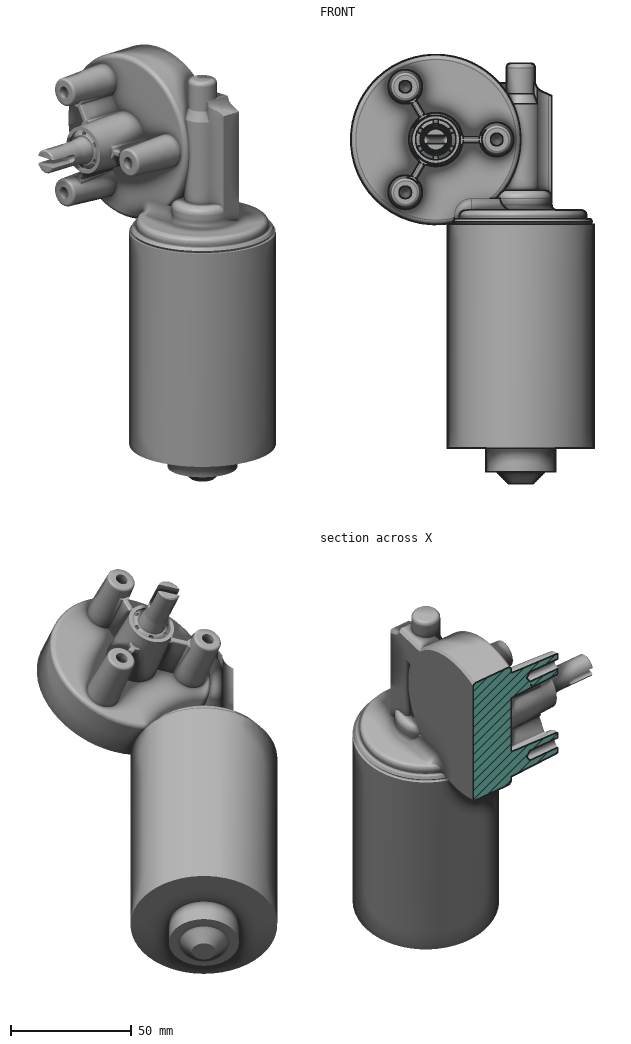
import cadquery as cq
import math

can_diameter = 61.0
can_length = 93.0
tail_diameter = 29.0
tail_length = 9.8
tail_cone_base_diameter = 20.0
tail_cone_tip_diameter = 10.0
tail_cone_length = (tail_cone_base_diameter - tail_cone_tip_diameter) / 2

ridge_diameter = 59.5
ridge_bevel = 0.7
ridge_height = 2.1
cap_diameter = 55.0
cap_top = 5.9
cap_rounding = 2.3

disc_diameter = 70.6
disc_thickness = 19.5
disc_front = -disc_thickness / 2
disc_back = disc_thickness / 2
disc_center_x = -35.3
disc_center_z = 35.1
disc_front_rounding = 2.0
disc_back_bevel = 1.0
cap_fillet = 4.8

collar_diameter = 25.9
collar_top = 14.0
collar_base_fillet = 2.1
collar_shoulder_diameter = 19.3
tube_diameter = 15.3
tube_top = 50.0
bearing_boss_diameter = 12.0
bearing_boss_bottom = 54.2
bearing_boss_top = 66.9
bearing_boss_rounding = 2.0

web_front = -0.4
web_left = -14.3
web_notch_base = 44.5
web_notch_height = 58.7
web_shoulder_x = 9.3
web_shoulder_height = 55.0
web_right_height = 53.3
web_shoulder_arc = 5.3
web_corner_fillet = 5.0

post_count = 3
post_circle_radius = 25.3
post_base_diameter = 14.3
post_tip_diameter = 12.0
post_length = 23.7
post_rounding = 1.0
post_hole_diameter = 5.2
post_hole_depth = 14.3
drill_point_angle = 118

hub_base_diameter = 22.5
hub_tip_diameter = 20.0
hub_length = 25.0
washer_recess_diameter = 16.8
washer_lip_diameter = 13.0
washer_height = 1.2
washer_slot_count = 6
washer_slot_width = 2.1
rib_thickness = 2.5
rib_length = 18.7
rib_end_fillet = 1.8
rib_rounding = 0.7
shaft_diameter = 10.0
shaft_collar_diameter = 11.6
shaft_collar_length = 5.7
shaft_end = -56.9
shaft_bevel = 0.5
shaft_slot_width = 3.4
shaft_slot_depth = 12.5

overlap = 1.8


def revolved(profile):
    """Turn a closed profile of (radius, height) about the Z axis."""
    return profile.close().revolve(360, (0, 0, 0), (0, 1, 0))


def on_disc(body, radius=0, angle=0):
    """Lay a body built along +Z forward from the disc face, at a polar place about the gear axis."""
    x = disc_center_x + radius * math.cos(math.radians(angle))
    z = disc_center_z + radius * math.sin(math.radians(angle))
    return body.rotate((0, 0, 0), (1, 0, 0), 90).translate((x, disc_front, z))


def motor():
    """Can, tail with its conical tip, bevelled ridge and rounded end cap in one turned body."""
    can = can_diameter / 2
    tail = tail_diameter / 2
    ridge = ridge_diameter / 2
    cap = cap_diameter / 2
    tail_end = -can_length - tail_length
    tip = tail_end - tail_cone_length
    profile = (
        cq.Workplane("XZ").moveTo(0, tip)
        .lineTo(tail_cone_tip_diameter / 2, tip)
        .lineTo(tail_cone_base_diameter / 2, tail_end)
        .lineTo(tail, tail_end)
        .lineTo(tail, -can_length)
        .lineTo(can, -can_length)
        .lineTo(can, 0)
        .lineTo(ridge - ridge_bevel, 0)
        .lineTo(ridge, ridge_height / 2)
        .lineTo(ridge - ridge_bevel, ridge_height)
        .lineTo(cap, ridge_height)
        .lineTo(cap, cap_top - cap_rounding)
        .radiusArc((cap - cap_rounding, cap_top), -cap_rounding)
        .lineTo(0, cap_top)
    )
    return revolved(profile)


def gear_disc():
    """Disc with a rounded front rim and a bevelled back rim."""
    disc = (
        cq.Workplane("XZ", origin=(disc_center_x, disc_back, disc_center_z))
        .circle(disc_diameter / 2)
        .extrude(disc_thickness)
    )
    disc = disc.faces("<Y").edges().fillet(disc_front_rounding)
    return disc.faces(">Y").edges().chamfer(disc_back_bevel)


def cap_blend():
    """Concave fillets between both disc faces and the flat top of the end cap.

    The left end turns down over the rounded rim of the cap and runs on to the ridge.
    """
    toe = disc_back + cap_fillet
    flat_radius = cap_diameter / 2 - cap_rounding
    half_length = math.sqrt(flat_radius ** 2 - toe ** 2)
    pivot_z = cap_top - cap_rounding
    crest = cap_top + cap_fillet

    def section(start_x):
        return (
            cq.Workplane("YZ", origin=(start_x, 0, pivot_z)).moveTo(-toe, 0)
            .lineTo(-toe, cap_top - pivot_z)
            .radiusArc((disc_front, crest - pivot_z), -cap_fillet)
            .lineTo(disc_back, crest - pivot_z)
            .radiusArc((toe, cap_top - pivot_z), -cap_fillet)
            .lineTo(toe, 0)
            .close()
        )

    straight = section(0).extrude(-half_length)
    rounded_end = section(-half_length).revolve(90, (0, 0, 0), (-1, 0, 0))
    skirt = (
        rounded_end.faces("<Z").wires().toPending()
        .workplane()
        .extrude(pivot_z - ridge_height, combine=False)
    )
    return straight.union(rounded_end).union(skirt)


def worm_tube():
    """Stepped tube on the motor axis: filleted collar, plain tube and bearing boss."""
    collar = collar_diameter / 2
    shoulder = collar_shoulder_diameter / 2
    tube = tube_diameter / 2
    boss = bearing_boss_diameter / 2
    collar_rounding = collar - shoulder
    profile = (
        cq.Workplane("XZ").moveTo(0, ridge_height)
        .lineTo(collar + collar_base_fillet, ridge_height)
        .lineTo(collar + collar_base_fillet, cap_top)
        .radiusArc((collar, cap_top + collar_base_fillet), collar_base_fillet)
        .lineTo(collar, collar_top - collar_rounding)
        .radiusArc((shoulder, collar_top), -collar_rounding)
        .lineTo(tube, collar_top)
        .lineTo(tube, tube_top)
        .lineTo(boss, bearing_boss_bottom)
        .lineTo(boss, bearing_boss_top - bearing_boss_rounding)
        .radiusArc((boss - bearing_boss_rounding, bearing_boss_top), -bearing_boss_rounding)
        .lineTo(0, bearing_boss_top)
    )
    return revolved(profile)


def concave_corner(round_radius, fillet_radius, wall):
    """Fillet between a round centred on the origin and a wall parallel to X at the given offset.

    Returns the point where the fillet meets the wall and the point where it meets the round.
    """
    reach = round_radius + fillet_radius
    center_y = wall + fillet_radius
    center_x = math.sqrt(reach ** 2 - center_y ** 2)
    shrink = round_radius / reach
    return (center_x, wall), (center_x * shrink, center_y * shrink)


def web():
    """Web behind the worm tube, filling the notch to the disc and filleted into the tube."""
    right = collar_diameter / 2
    boss = bearing_boss_diameter / 2
    on_wall, on_tube = concave_corner(tube_diameter / 2, web_corner_fillet, -web_front)
    plan = (
        cq.Workplane("XY", origin=(0, 0, cap_top)).moveTo(web_left, disc_back)
        .lineTo(right, disc_back)
        .lineTo(right, web_front)
        .lineTo(on_wall[0], web_front)
        .radiusArc((on_tube[0], -on_tube[1]), -web_corner_fillet)
        .lineTo(0, web_front)
        .lineTo(web_left, web_front)
        .close()
        .extrude(web_notch_height)
    )
    elevation = (
        cq.Workplane("XZ").moveTo(0, cap_top)
        .lineTo(right, cap_top)
        .lineTo(right, web_right_height)
        .lineTo(web_shoulder_x, web_shoulder_height)
        .radiusArc((boss, web_notch_height), web_shoulder_arc)
        .lineTo(web_left, web_notch_height)
        .lineTo(web_left, web_notch_base)
        .lineTo(0, web_notch_base)
        .close()
        .extrude(can_diameter / 2, both=True)
    )
    return plan.intersect(elevation).faces(">Y").edges().chamfer(disc_back_bevel)


def post():
    """Tapered mounting post with a rounded tip."""
    base = post_base_diameter / 2
    tip = post_tip_diameter / 2
    profile = (
        cq.Workplane("XZ").moveTo(0, -overlap)
        .lineTo(base, -overlap)
        .lineTo(base, 0)
        .lineTo(tip, post_length - post_rounding)
        .radiusArc((tip - post_rounding, post_length), -post_rounding)
        .lineTo(0, post_length)
    )
    return revolved(profile)


def post_hole():
    """Blind drilled hole with a conical point, opening at the tip of a post."""
    radius = post_hole_diameter / 2
    floor = post_length - post_hole_depth
    point = radius / math.tan(math.radians(drill_point_angle / 2))
    profile = (
        cq.Workplane("XZ").moveTo(0, floor - point)
        .lineTo(radius, floor)
        .lineTo(radius, post_length + overlap)
        .lineTo(0, post_length + overlap)
    )
    return revolved(profile)


def hub():
    """Tapered hub with a spring washer, its lip raised, seated in a recess in the tip."""
    base = hub_base_diameter / 2
    tip = hub_tip_diameter / 2
    recess = washer_recess_diameter / 2
    lip = washer_lip_diameter / 2
    seat = hub_length - washer_height
    profile = (
        cq.Workplane("XZ").moveTo(0, -overlap)
        .lineTo(base, -overlap)
        .lineTo(base, 0)
        .lineTo(tip, seat)
        .lineTo(tip, hub_length)
        .lineTo(recess, hub_length)
        .lineTo(recess, seat)
        .lineTo(lip, hub_length)
        .lineTo(0, hub_length)
    )
    body = revolved(profile)
    for index in range(washer_slot_count):
        slot = (
            cq.Workplane("XY", origin=(0, 0, seat))
            .center((lip + recess) / 2, 0)
            .rect(recess - lip, washer_slot_width)
            .extrude(washer_height)
            .rotate((0, 0, 0), (0, 0, 1), 90 + index * 360 / washer_slot_count)
        )
        body = body.cut(slot)
    return body


def rib():
    """Web along +X from the hub to a post, flared by concave fillets at both ends."""
    half = rib_thickness / 2
    hub_wall, on_hub = concave_corner(hub_tip_diameter / 2, rib_end_fillet, half)
    post_wall, on_post = concave_corner(post_tip_diameter / 2, rib_end_fillet, half)
    post_wall_x = post_circle_radius - post_wall[0]
    post_touch_x = post_circle_radius - on_post[0]
    straight_sides = cq.selectors.BoxSelector(
        (hub_wall[0], -rib_thickness, rib_length - overlap),
        (post_wall_x, rib_thickness, rib_length + overlap),
    )
    return (
        cq.Workplane("XY", origin=(0, 0, -overlap)).moveTo(0, -on_hub[1])
        .lineTo(on_hub[0], -on_hub[1])
        .radiusArc((hub_wall[0], -half), -rib_end_fillet)
        .lineTo(post_wall_x, -half)
        .radiusArc((post_touch_x, -on_post[1]), -rib_end_fillet)
        .lineTo(post_circle_radius, -on_post[1])
        .lineTo(post_circle_radius, on_post[1])
        .lineTo(post_touch_x, on_post[1])
        .radiusArc((post_wall_x, half), -rib_end_fillet)
        .lineTo(hub_wall[0], half)
        .radiusArc(on_hub, -rib_end_fillet)
        .lineTo(0, on_hub[1])
        .close()
        .extrude(rib_length + overlap)
        .faces(">Z").edges(straight_sides).fillet(rib_rounding)
    )


def shaft():
    """Output shaft with a tapered collar and a round-bottomed slot across its end."""
    end = disc_front - shaft_end
    radius = shaft_diameter / 2
    profile = (
        cq.Workplane("XZ").moveTo(0, hub_length - overlap)
        .lineTo(shaft_collar_diameter / 2, hub_length - overlap)
        .lineTo(shaft_collar_diameter / 2, hub_length)
        .lineTo(radius, hub_length + shaft_collar_length)
        .lineTo(radius, end - shaft_bevel)
        .lineTo(radius - shaft_bevel, end)
        .lineTo(0, end)
    )
    half_width = shaft_slot_width / 2
    floor = end - shaft_slot_depth
    slot = (
        cq.Workplane("YZ").moveTo(-half_width, end)
        .lineTo(-half_width, floor + half_width)
        .threePointArc((0, floor), (half_width, floor + half_width))
        .lineTo(half_width, end)
        .close()
        .extrude(shaft_diameter, both=True)
    )
    return revolved(profile).cut(slot)


gear_housing = gear_disc().union(on_disc(hub())).union(on_disc(shaft()))
post_angles = [index * 360 / post_count for index in range(post_count)]
for angle in post_angles:
    turned_rib = rib().rotate((0, 0, 0), (0, 0, 1), angle)
    gear_housing = gear_housing.union(on_disc(turned_rib))
    gear_housing = gear_housing.union(on_disc(post(), post_circle_radius, angle))
    gear_housing = gear_housing.cut(on_disc(post_hole(), post_circle_radius, angle))

worm_housing = worm_tube().union(web())
result = gear_housing.union(motor()).union(cap_blend()).union(worm_housing)